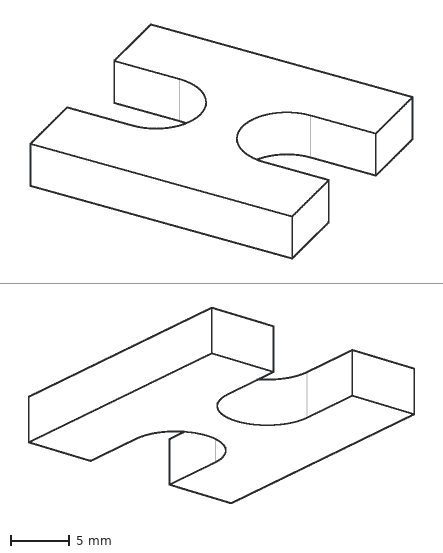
import cadquery as cq

length = 25.4
width = 22.1
thickness = 4.25

slot_width = 8.59
web = 4.11

slot_radius = slot_width / 2
arc_center_x = web / 2 + slot_radius


def end_slot(side):
    """Cutter for the slot open at the +X (side=1) or -X (side=-1) end."""
    straight = length / 2 - arc_center_x
    round_end = cq.Workplane("XY").center(side * arc_center_x, 0).circle(slot_radius).extrude(thickness)
    channel = (
        cq.Workplane("XY")
        .center(side * (arc_center_x + straight / 2), 0)
        .rect(straight, slot_width)
        .extrude(thickness)
    )
    return round_end.union(channel)


result = cq.Workplane("XY").box(length, width, thickness, centered=(True, True, False))
for side in (-1, 1):
    result = result.cut(end_slot(side))